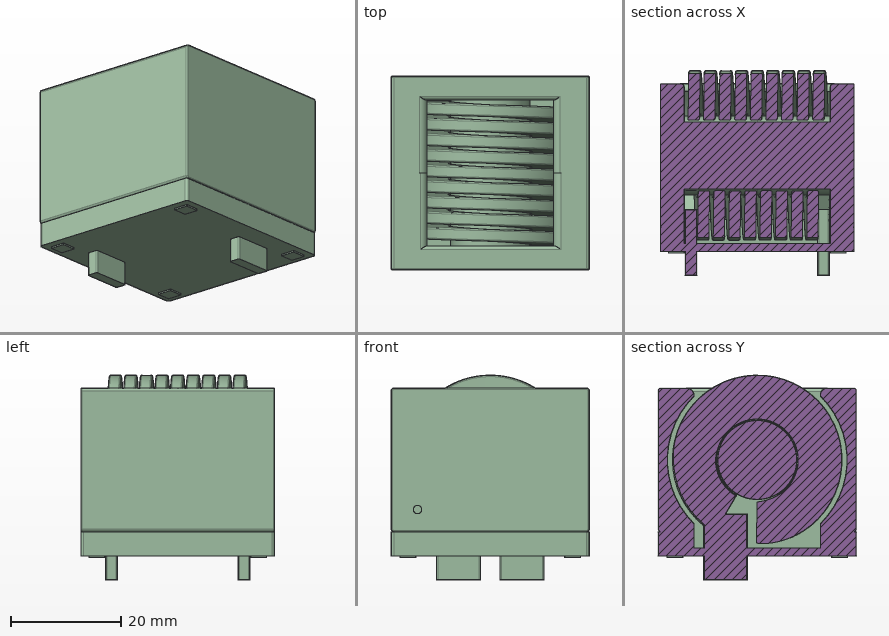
import cadquery as cq
import math

body_length = 36.0
body_width = 35.2
base_height = 4.4
core_top = 30.5
base_floor = 1.5
base_corner_radius = 0.5
core_side_radius = 0.5
core_face_radius = 0.25
core_height = core_top - base_height
axis_height = (base_height + core_top) / 2

coil_outer_radius = 15.4
wire_width = 8.0
wire_thickness = 2.15
wire_corner_radius = 0.25
coil_pitch = 2.83
coil_turns = 8.5
coil_mean_radius = coil_outer_radius - wire_width / 2
coil_end_y = coil_turns * coil_pitch / 2
joint_tolerance = 0.01

total_height = 37.19
pin_bottom = axis_height + coil_outer_radius - total_height
pin_x = 5.76
lead_arc_angle = math.degrees(math.acos(pin_x / coil_mean_radius))
pin_top = axis_height - coil_mean_radius * math.sin(math.radians(lead_arc_angle))

post_diameter = 14.4
cavity_radius = 16.3
window_half_length = 11.45
window_half_width = 13.25
wide_lip_radius = 1.4
narrow_lip_radius = 1.24
end_lip_radius = 0.65

foot_size = 2.9
foot_height = 0.3
foot_x = 14.95
foot_y = 14.7

mark_diameter = 1.52
mark_depth = 0.1
mark_x = -13.2
mark_z = 8.45


def make_base():
    base = cq.Workplane("XY").box(body_length, body_width, base_height, centered=(True, True, False))
    return base.edges("|Z").fillet(base_corner_radius)


def flared_prism(plane, half_opening, left_radius, right_radius, start, end):
    """Prism whose sides spread in convex arcs up to the top of the core."""
    bend = math.sqrt(0.5)

    def arc_middle(side, radius):
        return (side * (half_opening + radius * (1 - bend)), core_top - radius * (1 - bend))

    profile = (
        cq.Workplane(plane)
        .moveTo(-half_opening, axis_height)
        .lineTo(-half_opening, core_top - left_radius)
        .threePointArc(arc_middle(-1, left_radius), (-half_opening - left_radius, core_top))
        .lineTo(half_opening + right_radius, core_top)
        .threePointArc(arc_middle(1, right_radius), (half_opening, core_top - right_radius))
        .lineTo(half_opening, axis_height)
        .close()
    )
    return profile.extrude(end - start).translate(plane.zDir * start)


def make_window():
    """Top opening of the core, with rounded lips that meet in mitred corners."""
    along_y = cq.Plane((0, 0, 0), xDir=(-1, 0, 0), normal=(0, 1, 0))
    along_x = cq.Plane((0, 0, 0), xDir=(0, 1, 0), normal=(1, 0, 0))
    half_body = body_width / 2
    back = flared_prism(along_y, window_half_length, narrow_lip_radius, wide_lip_radius, 0, half_body)
    front = flared_prism(along_y, window_half_length, wide_lip_radius, narrow_lip_radius, -half_body, 0)
    ends = flared_prism(
        along_x, window_half_width, end_lip_radius, end_lip_radius, -body_length / 2, body_length / 2
    )
    return back.union(front).intersect(ends)


def cylinder_along_y(radius, half_length):
    cylinder = cq.Workplane("XZ").circle(radius).extrude(half_length, both=True)
    return cylinder.translate((0, 0, axis_height))


def make_core():
    """Rounded block with a round winding cavity that opens through the top."""
    block = (
        cq.Workplane("XY", origin=(0, 0, base_height))
        .box(body_length, body_width, core_height, centered=(True, True, False))
        .edges("|Y").fillet(core_side_radius)
        .faces("<Y or >Y").edges().fillet(core_face_radius)
    )
    core_limits = cq.Workplane("XY").box(body_length, body_width, core_height).translate((0, 0, axis_height))
    cavity = cylinder_along_y(cavity_radius, window_half_width).intersect(core_limits)
    return block.cut(cavity).cut(make_window())


def make_bottom_opening():
    """Plain opening through the bottom of the core and down into the base."""
    opening = cq.Workplane("XY", origin=(0, 0, base_floor))
    return opening.rect(2 * window_half_length, 2 * window_half_width).extrude(axis_height - base_floor)


def wire_section(plane, center_x=0):
    section = cq.Sketch().rect(wire_width, wire_thickness).vertices().fillet(wire_corner_radius)
    return cq.Workplane(plane).center(center_x, 0).placeSketch(section)


def make_winding():
    """Left-handed helix from the back left, over the top, to the front right."""
    helix_length = coil_turns * coil_pitch
    path = cq.Wire.makeHelix(coil_pitch, helix_length, coil_mean_radius, lefthand=True)
    helix = wire_section("XZ", coil_mean_radius).sweep(cq.Workplane(path), isFrenet=True)
    start = cq.Plane((0, coil_end_y, axis_height), xDir=(-1, 0, 0), normal=(0, -1, 0))
    return cq.Workplane(helix.val().moved(cq.Location(start)))


def make_front_lead():
    """Flat arc from the last turn down to the front right pin."""
    coil_end = cq.Plane((0, -coil_end_y, axis_height))
    arc = wire_section(coil_end, coil_mean_radius).revolve(
        lead_arc_angle, (-coil_mean_radius, 0, 0), (-coil_mean_radius, 1, 0)
    )
    pin_foot = cq.Plane((pin_x, -coil_end_y, pin_bottom))
    pin = wire_section(pin_foot).extrude(pin_top - pin_bottom)
    return arc.union(pin)


def make_feet():
    return (
        cq.Workplane("XY")
        .rect(2 * foot_x, 2 * foot_y, forConstruction=True)
        .vertices()
        .rect(foot_size, foot_size)
        .extrude(-foot_height)
    )


def make_mark():
    mark = cq.Workplane("XZ", origin=(mark_x, -body_width / 2, mark_z))
    return mark.circle(mark_diameter / 2).extrude(-mark_depth)


def join_winding(housing, winding):
    """Sew the winding to the two leads it meets end to end, as one closed skin."""
    joint_points = [cq.Vector(side * coil_mean_radius, -side * coil_end_y, axis_height) for side in (-1, 1)]

    def is_joint(face):
        return any((face.Center() - point).Length < joint_tolerance for point in joint_points)

    skin = [face for face in housing.faces().vals() + winding.faces().vals() if not is_joint(face)]
    return cq.Workplane(cq.Solid.makeSolid(cq.Shell.makeShell(skin)))


front_lead = make_front_lead()
back_lead = front_lead.rotate((0, 0, 0), (0, 0, 1), 180)

housing = (
    make_base()
    .union(make_core())
    .cut(make_bottom_opening())
    .union(cylinder_along_y(post_diameter / 2, window_half_width))
    .union(make_feet())
    .cut(make_mark())
    .union(front_lead)
    .union(back_lead)
)

result = join_winding(housing, make_winding())